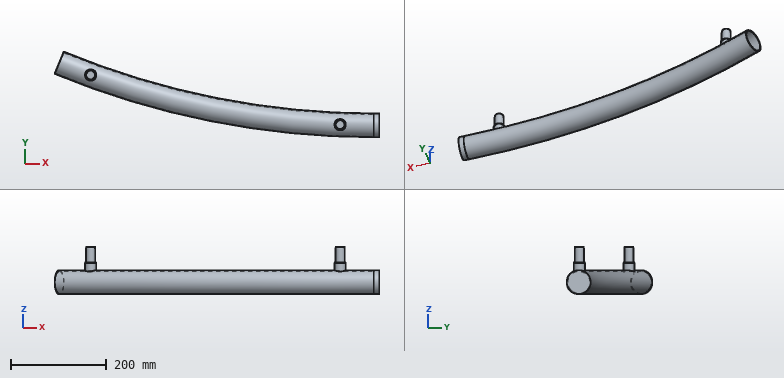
import cadquery as cq
import math

overall_length = 679.0
tube_diameter = 50.0
tube_wall = 2.0
cap_length = 11.5
cap_edge_fillet = 1.5
bend_angle = 22.5
stud_spacing = 522.0
cap_stud_setback = 82.0

stud_diameter = 20.0
stud_length = 32.5
stud_tip_length = 4.0
stud_tip_inset = 1.0
collar_diameter = 24.0
collar_chamfer_length = 2.0
collar_chamfer_inset = 1.0
overall_height = 99.0

tube_radius = tube_diameter / 2
bore_radius = tube_radius - tube_wall
tube_end_x = overall_length - cap_length
bend_sine = math.sin(math.radians(bend_angle))
bend_radius = tube_end_x / bend_sine - tube_radius
stud_tip_z = overall_height - tube_radius
collar_top_z = stud_tip_z - stud_length
far_stud_x = overall_length - cap_stud_setback - stud_spacing
near_stud_x = overall_length - cap_stud_setback


def axis_y(x):
    """Y of the bent tube axis at a given X; the axis is at Y = 0 at the cap."""
    return bend_radius - math.sqrt(bend_radius**2 - (tube_end_x - x) ** 2)


def bent_bar(radius):
    """Solid round bar of the given radius following the bend of the tube."""
    return (
        cq.Workplane("YZ", origin=(tube_end_x, 0, 0))
        .circle(radius)
        .revolve(bend_angle, (bend_radius, 0), (bend_radius, -1))
    )


def make_tube():
    """Round tube bent to a constant radius and open at its far end."""
    return bent_bar(tube_radius).cut(bent_bar(bore_radius))


def make_cap():
    """Disc with rounded rims that closes the end of the tube lying square to X."""
    return (
        cq.Workplane("YZ", origin=(tube_end_x, 0, 0))
        .circle(tube_radius)
        .extrude(cap_length)
        .edges("%CIRCLE")
        .fillet(cap_edge_fillet)
    )


def make_stud(x):
    """Stud with a collar whose foot is coped to sit on the tube."""
    y = axis_y(x)
    collar = (
        cq.Workplane("XY", origin=(x, y, 0))
        .circle(collar_diameter / 2)
        .extrude(collar_top_z)
        .faces(">Z")
        .chamfer(collar_chamfer_length, collar_chamfer_inset)
        .cut(bent_bar(tube_radius))
    )
    shank = (
        cq.Workplane("XY", origin=(x, y, collar_top_z))
        .circle(stud_diameter / 2)
        .extrude(stud_length)
        .faces(">Z")
        .chamfer(stud_tip_length, stud_tip_inset)
    )
    return collar.union(shank)


tube = make_tube()
cap = make_cap()
studs = [make_stud(x) for x in (far_stud_x, near_stud_x)]

result = cq.Compound.makeCompound([tube.val(), cap.val(), *[stud.val() for stud in studs]])